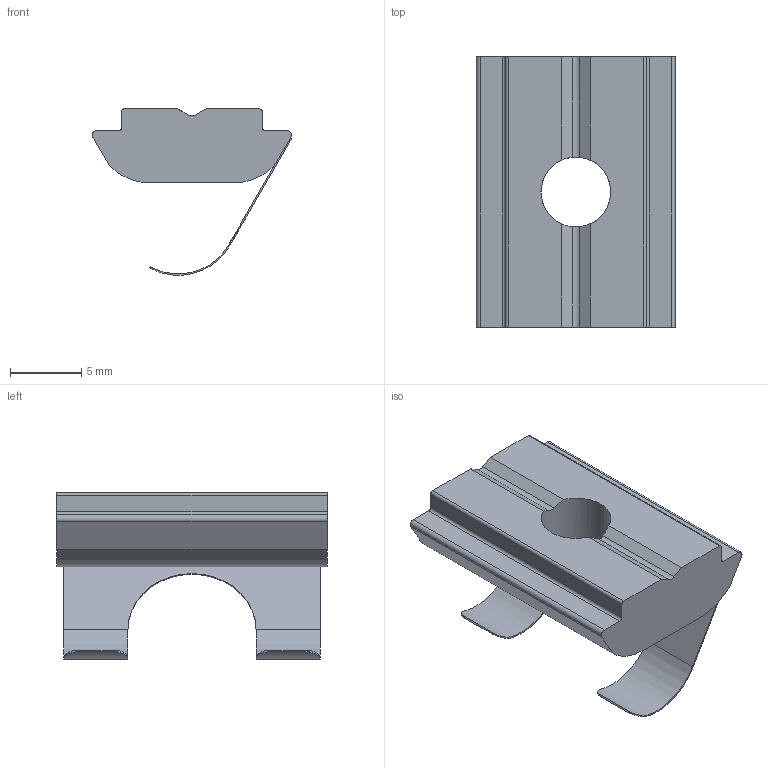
import cadquery as cq
import math

BODY_LENGTH = 19.0
BODY_HEIGHT = 5.2
FLANGE_WIDTH = 14.0
NECK_WIDTH = 9.9
NECK_HEIGHT = 1.53
NECK_RADIUS = 0.2
FLANGE_RADIUS = 0.3
FLANK_ANGLE = 60.0
FLANK_END_DEPTH = 4.0
BOTTOM_RADIUS = 4.0

GROOVE_HALF_WIDTH = 1.0
GROOVE_ANGLE = 30.0
GROOVE_RADIUS = 0.5

HOLE_DIAMETER = 4.9

SPRING_THICKNESS = 0.1
SPRING_WIDTH = 18.0
SPRING_TOP_X = 7.02
SPRING_BOTTOM_DEPTH = 11.7
SPRING_BEND_RADIUS = 4.15
TAIL_ANGLE = 29.0
TAIL_CORNER_RADIUS = 1.0
NOTCH_WIDTH = 9.0

FLANK_COS = math.cos(math.radians(FLANK_ANGLE))
FLANK_SIN = math.sin(math.radians(FLANK_ANGLE))

flank_top_x = FLANGE_WIDTH / 2 - FLANGE_RADIUS * (1 - FLANK_SIN)
flank_top_z = -NECK_HEIGHT - FLANGE_RADIUS * (1 + FLANK_COS)


def flank_x(z, offset=0.0):
    """X of the +X flank line at height z, moved outward by offset."""
    return flank_top_x + offset / FLANK_SIN + (z - flank_top_z) * FLANK_COS / FLANK_SIN


def polar(center, radius, angle):
    """Point on a circle in the XZ plane, angle in degrees from +X."""
    a = math.radians(angle)
    return (center[0] + radius * math.cos(a), center[1] + radius * math.sin(a))


def extrude_section(section, length):
    """Extrude an XZ section along Y, centred on Y = 0."""
    return section.extrude(length / 2, both=True)


def half_body():
    """The +X half of the body, with its edges rounded."""
    shoulder_x = NECK_WIDTH / 2
    flank_end_z = -FLANK_END_DEPTH
    flank_end_x = flank_x(flank_end_z)
    rise = BODY_HEIGHT - FLANK_END_DEPTH
    arc_width = math.sqrt(rise * (2 * BOTTOM_RADIUS - rise))
    arc_center = (flank_end_x - arc_width, BOTTOM_RADIUS - BODY_HEIGHT)
    arc_sweep = math.degrees(math.asin(arc_width / BOTTOM_RADIUS))
    flange_center = (FLANGE_WIDTH / 2 - FLANGE_RADIUS, -NECK_HEIGHT - FLANGE_RADIUS)
    neck_center = (shoulder_x - NECK_RADIUS, -NECK_RADIUS)
    corner_center = (shoulder_x + NECK_RADIUS, NECK_RADIUS - NECK_HEIGHT)
    flange_middle_angle = FLANK_ANGLE / 2

    section = (
        cq.Workplane("XZ")
        .lineTo(neck_center[0], 0)
        .threePointArc(polar(neck_center, NECK_RADIUS, 45), (shoulder_x, neck_center[1]))
        .lineTo(shoulder_x, corner_center[1])
        .threePointArc(polar(corner_center, NECK_RADIUS, 225), (corner_center[0], -NECK_HEIGHT))
        .lineTo(flange_center[0], -NECK_HEIGHT)
        .threePointArc(polar(flange_center, FLANGE_RADIUS, flange_middle_angle), (flank_top_x, flank_top_z))
        .lineTo(flank_end_x, flank_end_z)
        .threePointArc(
            polar(arc_center, BOTTOM_RADIUS, arc_sweep / 2 - 90),
            (arc_center[0], -BODY_HEIGHT),
        )
        .lineTo(0, -BODY_HEIGHT)
        .close()
    )
    return extrude_section(section, BODY_LENGTH)


def groove():
    """V groove with a rounded root."""
    slope = math.radians(GROOVE_ANGLE)
    root_half_width = GROOVE_RADIUS * math.sin(slope)
    root_edge_z = -(GROOVE_HALF_WIDTH - root_half_width) * math.tan(slope)
    root_z = root_edge_z - GROOVE_RADIUS * (1 - math.cos(slope))
    section = (
        cq.Workplane("XZ")
        .moveTo(-GROOVE_HALF_WIDTH, 0)
        .lineTo(-root_half_width, root_edge_z)
        .threePointArc((0, root_z), (root_half_width, root_edge_z))
        .lineTo(GROOVE_HALF_WIDTH, 0)
        .close()
    )
    return extrude_section(section, BODY_LENGTH)


def body():
    half = half_body()
    hole = cq.Workplane("XY").circle(HOLE_DIAMETER / 2).extrude(-BODY_HEIGHT)
    return half.union(half.mirror("YZ")).cut(groove()).cut(hole)


def spring_plate(inner_bend, outer_bend):
    """Straight part on the flank, with an arch cut out where the bend begins."""
    length = (SPRING_TOP_X - outer_bend[0]) / FLANK_COS
    section = (
        cq.Workplane("XZ")
        .moveTo(*inner_bend)
        .lineTo(*outer_bend)
        .line(length * FLANK_COS, length * FLANK_SIN)
        .lineTo(inner_bend[0] + length * FLANK_COS, inner_bend[1] + length * FLANK_SIN)
        .close()
    )
    plate = extrude_section(section, SPRING_WIDTH)

    plate_plane = cq.Plane(
        origin=(outer_bend[0], 0, outer_bend[1]),
        xDir=(0, 1, 0),
        normal=(FLANK_SIN, 0, -FLANK_COS),
    )
    arch = cq.Workplane(plate_plane).circle(NOTCH_WIDTH / 2).extrude(2 * SPRING_THICKNESS, both=True)
    return plate.cut(arch)


def spring_legs(bend, inner_radius):
    """Two curved legs below the plate, with rounded corners at their free ends."""
    start_angle = FLANK_ANGLE - 90
    end_angle = -90 - TAIL_ANGLE
    middle_angle = (start_angle + end_angle) / 2
    outer_start = polar(bend, SPRING_BEND_RADIUS, start_angle)
    outer_end = polar(bend, SPRING_BEND_RADIUS, end_angle)
    section = (
        cq.Workplane("XZ")
        .moveTo(*outer_start)
        .threePointArc(polar(bend, SPRING_BEND_RADIUS, middle_angle), outer_end)
        .lineTo(*polar(bend, inner_radius, end_angle))
        .threePointArc(
            polar(bend, inner_radius, middle_angle),
            polar(bend, inner_radius, start_angle),
        )
        .close()
    )
    curl = extrude_section(section, SPRING_WIDTH)

    leg_width = (SPRING_WIDTH - NOTCH_WIDTH) / 2
    leg_y = (SPRING_WIDTH + NOTCH_WIDTH) / 4
    leg_outlines = (
        cq.Workplane("XY", origin=(outer_end[0], 0, -SPRING_BOTTOM_DEPTH))
        .pushPoints([(0, leg_y), (0, -leg_y)])
        .box(outer_start[0] - outer_end[0], leg_width, SPRING_BEND_RADIUS, centered=(False, True, False))
        .edges("|Z and <X")
        .fillet(TAIL_CORNER_RADIUS)
    )
    return curl.intersect(leg_outlines)


def spring():
    """Thin strip along the flank that bends under the body and ends in two legs."""
    start_angle = FLANK_ANGLE - 90
    inner_radius = SPRING_BEND_RADIUS - SPRING_THICKNESS
    bend_z = SPRING_BEND_RADIUS - SPRING_BOTTOM_DEPTH
    outer_bend_z = polar((0, bend_z), SPRING_BEND_RADIUS, start_angle)[1]
    outer_bend = (flank_x(outer_bend_z, SPRING_THICKNESS), outer_bend_z)
    bend_x = outer_bend[0] - polar((0, 0), SPRING_BEND_RADIUS, start_angle)[0]
    bend = (bend_x, bend_z)
    plate = spring_plate(polar(bend, inner_radius, start_angle), outer_bend)
    return plate.union(spring_legs(bend, inner_radius))


result = body().union(spring())